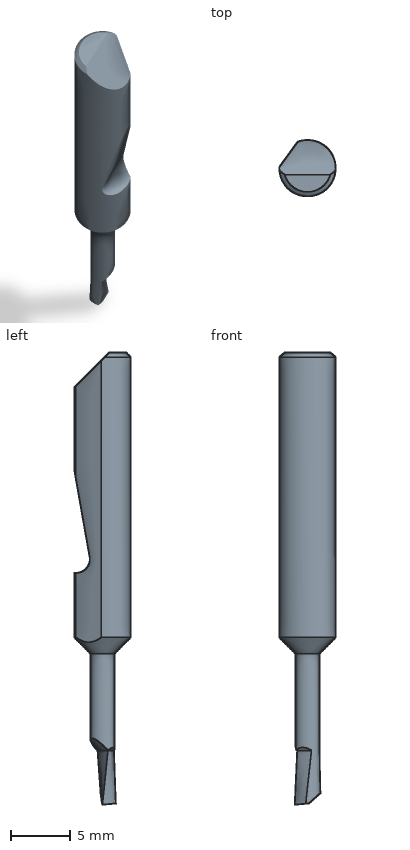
import cadquery as cq
import math

length = 38.1
shank_radius = 2.38
shank_bottom = 14.1
neck_radius = 1.03
neck_bottom = 4.57
end_chamfer = 0.4
cut_span = 4 * shank_radius

flat_distance = 2.0
flat_angle = 144.0
slope_bottom = 35.15
notch_top = 28.2
notch_floor = 19.55
notch_taper = 10.0
notch_radius = 1.15

tip_radius = 1.15
rake_corner_top = (-0.88, -0.45)
rake_corner_bottom = (-1.085, 0.0)
relief_angle_top = -71.0
relief_angle_bottom = -98.0
rake_angle_top = 24.5
rake_angle_bottom = 5.0
nose_x = 0.1
nose_height = 0.1
corner_height = 1.03
end_relief = 0.1


def on_circle(radius, degrees):
    angle = math.radians(degrees)
    return radius * math.cos(angle), radius * math.sin(angle)


def make_body():
    """Revolved shank, 45 degree shoulder and neck."""
    shoulder_bottom = shank_bottom - (shank_radius - neck_radius)
    return (
        cq.Workplane("XZ")
        .moveTo(0, neck_bottom)
        .lineTo(neck_radius, neck_bottom)
        .lineTo(neck_radius, shoulder_bottom)
        .lineTo(shank_radius, shank_bottom)
        .lineTo(shank_radius, length - end_chamfer)
        .lineTo(shank_radius - end_chamfer, length)
        .lineTo(0, length)
        .close()
        .revolve(360, (0, 0), (0, 1))
    )


def flat_cutter():
    """Block outside the long flat, running over the shank and shoulder."""
    return (
        cq.Workplane("XY")
        .box(cut_span, cut_span, length, centered=(False, True, False))
        .translate((flat_distance, 0, 0))
        .rotate((0, 0, 0), (0, 0, 1), flat_angle)
    )


def slope_cutter():
    """Wedge that leaves the 45 degree slope at the shank end."""
    return (
        cq.Workplane("YZ")
        .moveTo(shank_radius, slope_bottom)
        .lineTo(shank_radius + cut_span, slope_bottom - cut_span)
        .lineTo(shank_radius + cut_span, slope_bottom + cut_span)
        .lineTo(shank_radius - cut_span, slope_bottom + cut_span)
        .close()
        .extrude(cut_span / 2, both=True)
    )


def notch_cutter():
    """Tapered notch in the +Y side with a rounded floor corner."""
    notch_depth = (notch_top - notch_floor) * math.tan(math.radians(notch_taper))
    root_y = shank_radius - notch_depth
    notch = (
        cq.Workplane("YZ")
        .moveTo(root_y, notch_floor)
        .lineTo(shank_radius, notch_top)
        .lineTo(shank_radius + notch_radius, notch_top)
        .lineTo(shank_radius + notch_radius, notch_floor)
        .close()
        .extrude(cut_span / 2, both=True)
    )
    return notch.edges("|X and <Y").fillet(notch_radius)


def runout_cutter(start, end):
    """45 degree run-out into the neck, on the left of the line start-end."""
    run_x = end[0] - start[0]
    run_y = end[1] - start[1]
    plane = cq.Plane(
        origin=(start[0], start[1], neck_bottom),
        xDir=(-run_y, run_x, 0),
        normal=(run_x, run_y, 0),
    )
    reach = 3 * neck_radius
    return (
        cq.Workplane(plane)
        .polyline([(0, 0), (reach, 0), (reach, reach)])
        .close()
        .extrude(reach, both=True)
    )


def tip_section(height, radius, rake_corner, relief_angle, rake_angle):
    """Closed section: side relief, round back, then the rake face."""
    return (
        cq.Workplane("XY", origin=(0, 0, height))
        .moveTo(*rake_corner)
        .lineTo(*on_circle(radius, relief_angle))
        .threePointArc(
            on_circle(radius, (relief_angle + rake_angle) / 2),
            on_circle(radius, rake_angle),
        )
        .close()
        .val()
    )


def make_tip():
    bottom = tip_section(0, tip_radius, rake_corner_bottom, relief_angle_bottom, rake_angle_bottom)
    top = tip_section(neck_bottom, neck_radius, rake_corner_top, relief_angle_top, rake_angle_top)
    return cq.Workplane(cq.Solid.makeLoft([bottom, top], True))


def corner_cutter():
    """Everything below the end face and the sloping corner chamfer."""
    chamfer_slope = (corner_height - nose_height) / (tip_radius - nose_x)
    outer_x = 2 * tip_radius
    outer_height = nose_height + chamfer_slope * (outer_x - nose_x)
    return (
        cq.Workplane("XZ")
        .moveTo(nose_x, nose_height)
        .lineTo(outer_x, outer_height)
        .lineTo(outer_x, -tip_radius)
        .lineTo(-outer_x, -tip_radius)
        .lineTo(rake_corner_bottom[0], 0)
        .close()
        .extrude(cut_span / 2, both=True)
    )


def end_relief_cutter():
    """Tilts the end face up toward -Y."""
    return (
        cq.Workplane("YZ")
        .polyline([(0, 0), (-cut_span, 0), (-cut_span, end_relief * cut_span)])
        .close()
        .extrude(cut_span / 2, both=True)
    )


body = make_body().cut(flat_cutter()).cut(slope_cutter()).cut(notch_cutter())
body = body.cut(runout_cutter(rake_corner_top, on_circle(neck_radius, rake_angle_top)))
body = body.cut(runout_cutter(on_circle(neck_radius, relief_angle_top), rake_corner_top))
tip = make_tip().cut(corner_cutter()).cut(end_relief_cutter())
result = body.union(tip)